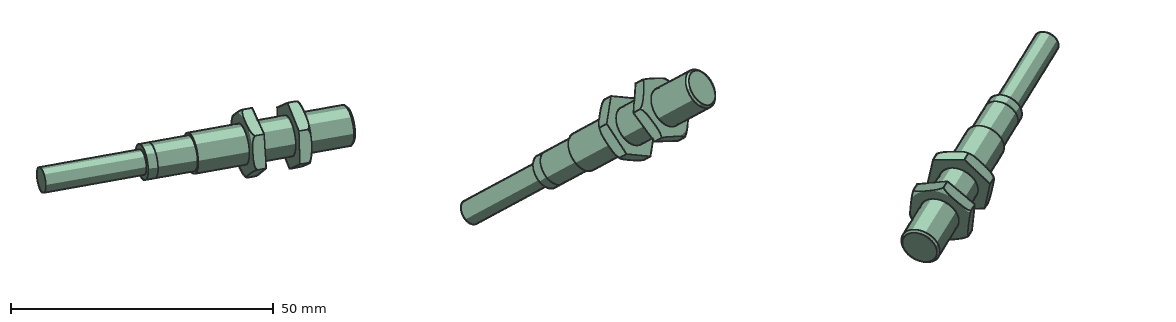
import cadquery as cq
import math


barrel_diameter = 8.0
barrel_length = 32.0
face_chamfer = 0.45

stem_diameter = 7.0
stem_end = 40.0
ring_end = 42.0

cable_diameter = 5.0
total_length = 62.4

nut_flats = 12.0
nut_thickness = 2.5
nut_face_diameter = 11.75
nut_rounding_radius = 1.2
nut_corner_diameter = nut_flats / math.cos(math.radians(30))
front_nut_center = 11.0
rear_nut_center = 20.4
front_nut_turn = 4.8
rear_nut_turn = 9.7


def rod(diameter, start, end):
    """Cylinder along the axis between two distances behind the sensing face."""
    return cq.Workplane("XZ", origin=(0, -start, 0)).circle(diameter / 2).extrude(end - start)


def make_barrel():
    """Barrel with a chamfered sensing face and a narrower stem behind it."""
    body = rod(barrel_diameter, 0, barrel_length).faces(">Y").chamfer(face_chamfer)
    return body.union(rod(stem_diameter, barrel_length, stem_end))


def make_end_ring():
    """Ring at the end of the stem, bored for the cable."""
    return rod(stem_diameter, stem_end, ring_end).cut(rod(cable_diameter, stem_end, ring_end))


def make_cable():
    """Cable that passes through the end ring and butts against the stem."""
    return rod(cable_diameter, stem_end, total_length)


def make_nut(center, turn, rounded_side):
    """Nut bored for the barrel, with its corners rounded toward one face (+1 for +Y, -1 for -Y).

    The turn is the angle in degrees of a corner from +Z toward -X.
    """
    corner_radius = nut_corner_diameter / 2
    face_radius = nut_face_diameter / 2
    plain_face = -rounded_side * nut_thickness / 2
    rounded_face = -plain_face

    arc_sweep = math.asin((corner_radius - face_radius) / nut_rounding_radius)

    def arc_point(angle):
        drop = nut_rounding_radius * (1 - math.cos(angle))
        return (
            face_radius + nut_rounding_radius * math.sin(angle),
            rounded_face - rounded_side * drop,
        )

    hexagon = (
        cq.Workplane("XZ")
        .polygon(6, nut_corner_diameter)
        .extrude(nut_thickness / 2, both=True)
        .rotate((0, 0, 0), (0, 1, 0), -90 - turn)
    )
    envelope = (
        cq.Workplane("XY")
        .moveTo(0, plain_face)
        .lineTo(corner_radius, plain_face)
        .lineTo(*arc_point(arc_sweep))
        .threePointArc(arc_point(arc_sweep / 2), arc_point(0))
        .lineTo(0, rounded_face)
        .close()
        .revolve(360, (0, 0, 0), (0, 1, 0))
    )
    bore = rod(barrel_diameter, -nut_thickness, nut_thickness)
    return hexagon.intersect(envelope).cut(bore).translate((0, -center, 0))


barrel = make_barrel()
end_ring = make_end_ring()
cable = make_cable()

nut_placements = [
    (front_nut_center, front_nut_turn, 1),
    (rear_nut_center, rear_nut_turn, -1),
]
nuts = [make_nut(center, turn, side) for center, turn, side in nut_placements]

result = cq.Compound.makeCompound(
    [barrel.val(), end_ring.val(), cable.val(), *[nut.val() for nut in nuts]]
)